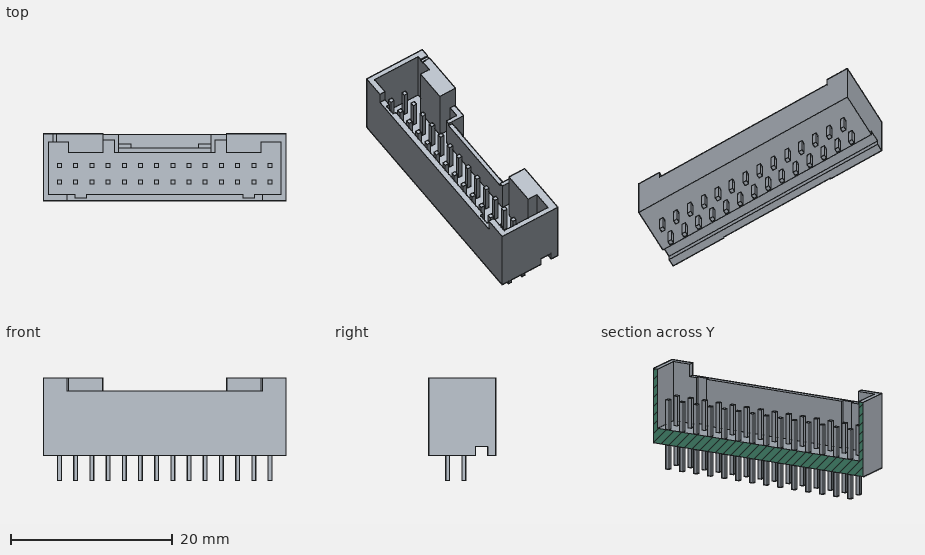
import cadquery as cq


LENGTH = 30.0
DEPTH = 8.3
HEIGHT = 9.6
END_WALL = 0.65
FRONT_WALL = 0.75
BACK_WALL = 1.05
FLOOR = 2.0

FRONT_NOTCH_HEIGHT = 8.0
FRONT_NOTCH_END_X = LENGTH / 2 - 2.95

PILLAR_INNER_X = LENGTH / 2 - 7.35
PILLAR_OUTER_X = LENGTH / 2 - 3.1
PILLAR_FRONT_Y = 5.95

MIDDLE_BACK_Y = DEPTH - 0.1
MIDDLE_BACK_HEIGHT = 6.25
CAVITY_POCKET_Y = 7.5
LATCH_WALL_HALF = LENGTH / 2 - 8.8
RECESS_HALF = LENGTH / 2 - 9.3
LATCH_WALL_THICKNESS = 0.55
LATCH_WALL_BACK_Y = PILLAR_FRONT_Y + LATCH_WALL_THICKNESS
LATCH_WALL_DROP = 0.4
LATCH_WALL_HEIGHT = MIDDLE_BACK_HEIGHT - LATCH_WALL_DROP
LUG_LENGTH = 1.55
LUG_DEPTH = 0.5
LUG_DROP = 1.0
LUG_HEIGHT = LATCH_WALL_HEIGHT - LUG_DROP

KEY_SLOT_WIDTH = 1.45
KEY_SLOT_X = LENGTH / 2 - 4.63
KEY_SLOT_Y = 0.35

MARK_X = -LENGTH / 2 + 1.4
MARK_WIDTH = 0.45
MARK_DEPTH = 0.2

CHANNEL_FRONT_Y = 5.8
CHANNEL_BACK_Y = 7.3
CHANNEL_HEIGHT = 1.1

COLUMNS = 14
PITCH = 2.0
FRONT_ROW_Y = 2.35
ROWS_Y = (FRONT_ROW_Y, FRONT_ROW_Y + PITCH)
PIN_SIZE = 0.5
PIN_BOTTOM = -3.1
PIN_TOP = 5.8


def block(x0, x1, y0, y1, z0, z1):
    """Box spanning the given coordinate ranges."""
    return cq.Workplane("XY").box(x1 - x0, y1 - y0, z1 - z0, centered=False).translate((x0, y0, z0))


def centered_block(half_length, y0, y1, z0, z1):
    """Box symmetric about X = 0."""
    return block(-half_length, half_length, y0, y1, z0, z1)


def make_cavity():
    """Open inside of the housing, shaped around the pillars and the latch wall."""
    half_inside = LENGTH / 2 - END_WALL
    cavity = centered_block(half_inside, FRONT_WALL, DEPTH - BACK_WALL, FLOOR, HEIGHT)
    cavity = cavity.cut(centered_block(PILLAR_OUTER_X, PILLAR_FRONT_Y, DEPTH, FLOOR, HEIGHT))
    pockets = centered_block(PILLAR_INNER_X, PILLAR_FRONT_Y, CAVITY_POCKET_Y, FLOOR, HEIGHT)
    pockets = pockets.cut(centered_block(LATCH_WALL_HALF, PILLAR_FRONT_Y, DEPTH, FLOOR, HEIGHT))
    cavity = cavity.union(pockets)
    for side in (-1, 1):
        center = side * KEY_SLOT_X
        half = KEY_SLOT_WIDTH / 2
        cavity = cavity.union(block(center - half, center + half, KEY_SLOT_Y, FRONT_WALL, FLOOR, HEIGHT))
    return cavity


def make_latch_recess():
    """Space cut from the back, leaving the latch wall with a lug at each end."""
    recess = centered_block(RECESS_HALF, LATCH_WALL_BACK_Y, DEPTH, FLOOR, HEIGHT)
    lugs = centered_block(RECESS_HALF, LATCH_WALL_BACK_Y, LATCH_WALL_BACK_Y + LUG_DEPTH, FLOOR, LUG_HEIGHT)
    lugs = lugs.cut(centered_block(RECESS_HALF - LUG_LENGTH, 0, DEPTH, FLOOR, HEIGHT))
    above_wall = centered_block(RECESS_HALF, PILLAR_FRONT_Y, DEPTH, LATCH_WALL_HEIGHT, HEIGHT)
    return recess.cut(lugs).union(above_wall)


def make_housing():
    """Moulded body with all its openings."""
    body = centered_block(LENGTH / 2, 0, DEPTH, 0, HEIGHT)
    body = body.cut(make_cavity())
    body = body.cut(centered_block(FRONT_NOTCH_END_X, 0, FRONT_WALL, FRONT_NOTCH_HEIGHT, HEIGHT))
    body = body.cut(centered_block(PILLAR_INNER_X, FRONT_WALL, DEPTH, MIDDLE_BACK_HEIGHT, HEIGHT))
    body = body.cut(centered_block(PILLAR_INNER_X, MIDDLE_BACK_Y, DEPTH, 0, HEIGHT))
    body = body.cut(make_latch_recess())
    body = body.cut(centered_block(LENGTH / 2, CHANNEL_FRONT_Y, CHANNEL_BACK_Y, 0, CHANNEL_HEIGHT))
    mark = block(
        MARK_X - MARK_WIDTH / 2, MARK_X + MARK_WIDTH / 2, DEPTH - BACK_WALL, DEPTH, HEIGHT - MARK_DEPTH, HEIGHT
    )
    return body.cut(mark)


def make_pins():
    """Square pins in two rows, standing in the cavity and reaching below the housing."""
    first_x = -(COLUMNS - 1) * PITCH / 2
    centers = [(first_x + column * PITCH, y) for column in range(COLUMNS) for y in ROWS_Y]
    pins = cq.Workplane("XY", origin=(0, 0, PIN_BOTTOM)).pushPoints(centers)
    return pins.rect(PIN_SIZE, PIN_SIZE).extrude(PIN_TOP - PIN_BOTTOM)


result = make_housing().union(make_pins())